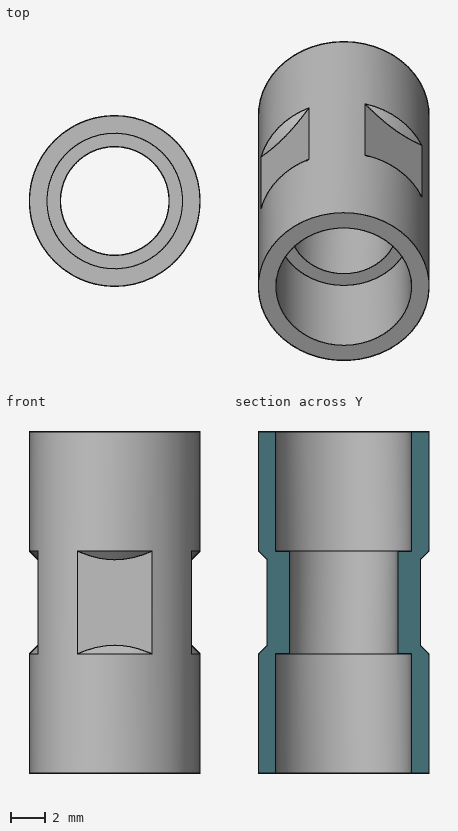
import cadquery as cq

outer_diameter = 10.0
length = 20.0
outer_radius = outer_diameter / 2
half_length = length / 2

bore_diameter = 6.35
counterbore_diameter = 7.9375

across_flats = 9.0
flat_height = 6.0
flat_depth = (outer_diameter - across_flats) / 2

counterbore_depth = (length - flat_height) / 2


def make_sleeve():
    """Tube with a through bore, counterbored from both ends."""
    sleeve = cq.Workplane("XY").circle(outer_radius).extrude(half_length, both=True)
    for end_face in (">Z", "<Z"):
        sleeve = (
            sleeve.faces(end_face)
            .workplane(origin=(0, 0, 0))
            .cboreHole(bore_diameter, counterbore_diameter, counterbore_depth)
        )
    return sleeve


def make_flats_cutter():
    """Ring with 45 degree conical ends, hollowed by a square prism that leaves the flats."""
    inner_radius = across_flats / 2
    end_height = flat_height / 2
    clearance = flat_depth
    ring = (
        cq.Workplane("XZ")
        .moveTo(inner_radius, -end_height + flat_depth)
        .lineTo(outer_radius + clearance, -end_height - clearance)
        .lineTo(outer_radius + clearance, end_height + clearance)
        .lineTo(inner_radius, end_height - flat_depth)
        .close()
        .revolve(360, (0, 0, 0), (0, 1, 0))
    )
    prism = cq.Workplane("XY").box(across_flats, across_flats, length)
    return ring.cut(prism)


result = make_sleeve().cut(make_flats_cutter())